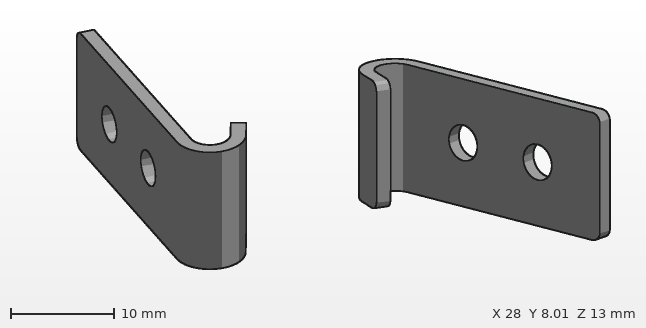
import cadquery as cq
import math

length = 28.0
width = 13.0
thickness = 1.5
bend_outer_radius = 3.5
lip_angle = math.radians(24)
lip_length = 3.22
corner_radius = 1.0
hole_diameter = 3.6
hole_positions = (7.98, 17.5)

bend_inner_radius = bend_outer_radius - thickness
bend_x = length - bend_outer_radius
bend_y = bend_outer_radius


def bend_point(radius, angle):
    """Point around the bend centre, with the angle measured from +X."""
    return (bend_x + radius * math.cos(angle), bend_y + radius * math.sin(angle))


def lip_tip(bend_end):
    """Far end of the straight lip that leaves the bend at bend_end."""
    x, y = bend_end
    return (x - lip_length * math.cos(lip_angle), y + lip_length * math.sin(lip_angle))


def make_strip():
    """Flat plate, bend and lip, extruded across the full width."""
    end_angle = math.pi / 2 - lip_angle
    outer_end = bend_point(bend_outer_radius, end_angle)
    inner_end = bend_point(bend_inner_radius, end_angle)
    return (
        cq.Workplane("XY")
        .lineTo(bend_x, 0)
        .threePointArc(bend_point(bend_outer_radius, 0), outer_end)
        .lineTo(*lip_tip(outer_end))
        .lineTo(*lip_tip(inner_end))
        .lineTo(*inner_end)
        .threePointArc(bend_point(bend_inner_radius, 0), (bend_x, thickness))
        .lineTo(0, thickness)
        .close()
        .extrude(width)
    )


def round_corners(strip):
    """Round the corners at the plate's free end and at the lip tip."""
    lip_direction = cq.Vector(math.sin(lip_angle), math.cos(lip_angle), 0)
    strip = strip.faces("<X").edges("|Y").fillet(corner_radius)
    tip_edges = cq.selectors.ParallelDirSelector(lip_direction)
    return strip.edges(tip_edges).edges("<X").fillet(corner_radius)


def make_holes():
    """Cylinders that pass through the flat plate only."""
    return (
        cq.Workplane("XZ")
        .pushPoints([(x, width / 2) for x in hole_positions])
        .circle(hole_diameter / 2)
        .extrude(-thickness)
    )


result = round_corners(make_strip()).cut(make_holes())